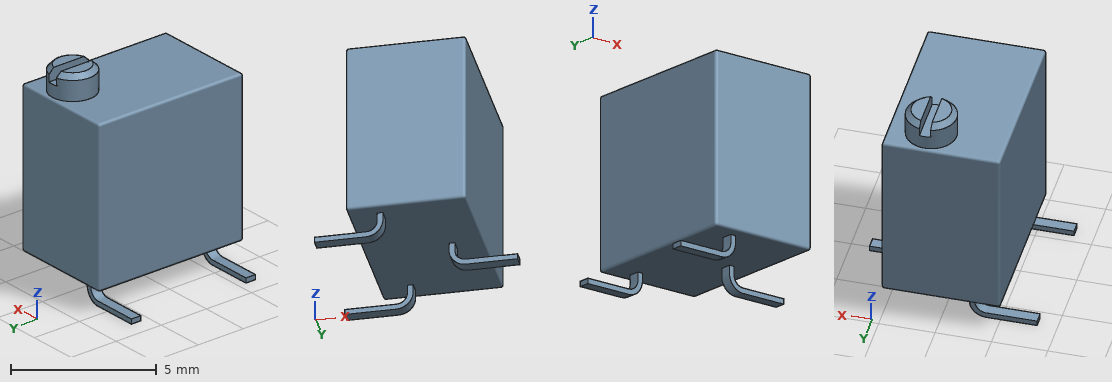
import cadquery as cq

body_x = 4.2
body_y = 6.4
body_z = 6.4
edge_radius = 0.1
total_height = 8.3
screw_height = 1.005
body_bottom = total_height - screw_height - body_z
body_top = body_bottom + body_z

screw_diameter = 1.8
screw_center = (0.6, 2.175)
screw_chamfer = 0.2
slot_width = 0.4
slot_depth = 0.5

lead_span = 6.6
lead_thickness = 0.2
lead_width = 0.42
lead_pitch = 2.54
lead_inner_x = 0.9
bend_outer_radius = 0.6
bend_inner_radius = bend_outer_radius - lead_thickness
lead_embed = 0.17


def make_body():
    """Rectangular housing with all edges rounded."""
    block = cq.Workplane("XY").workplane(offset=body_bottom).box(
        body_x, body_y, body_z, centered=(True, True, False)
    )
    return block.edges().fillet(edge_radius)


def make_screw():
    """Chamfered screw head with a slot running along Y."""
    head = (
        cq.Workplane("XY", origin=(*screw_center, body_top))
        .circle(screw_diameter / 2)
        .extrude(screw_height)
        .faces(">Z")
        .chamfer(screw_chamfer)
    )
    slot = cq.Workplane("XY", origin=(*screw_center, total_height - slot_depth)).box(
        slot_width, screw_diameter, slot_depth, centered=(True, True, False)
    )
    return head.cut(slot)


def make_lead(side, y_center):
    """Bent flat lead whose foot points along side * X."""
    tip = side * lead_span / 2
    inner_face = side * lead_inner_x
    outer_face = inner_face + side * lead_thickness
    bend_x = inner_face + side * bend_outer_radius
    lead_top = body_bottom + lead_embed
    profile = (
        cq.Workplane("XZ", origin=(0, y_center, 0))
        .moveTo(tip, 0)
        .lineTo(bend_x, 0)
        .radiusArc((inner_face, bend_outer_radius), side * bend_outer_radius)
        .lineTo(inner_face, lead_top)
        .lineTo(outer_face, lead_top)
        .lineTo(outer_face, bend_outer_radius)
        .radiusArc((bend_x, lead_thickness), -side * bend_inner_radius)
        .lineTo(tip, lead_thickness)
        .close()
    )
    return profile.extrude(lead_width / 2, both=True)


result = make_body().union(make_screw())
for side, y_center in ((-1, -lead_pitch), (-1, lead_pitch), (1, 0)):
    result = result.union(make_lead(side, y_center))